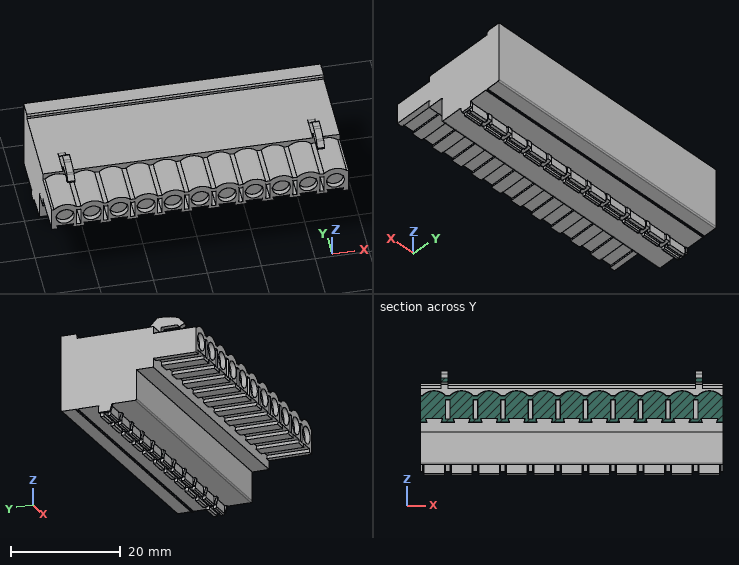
import cadquery as cq
import math


length = 55.1
depth = 26.6
height = 19.0
pole_count = 11
pitch = length / pole_count
pole_positions = [(i - (pole_count - 1) / 2) * pitch for i in range(pole_count)]
boundary_positions = [(i - pole_count / 2) * pitch for i in range(pole_count + 1)]

housing_bottom = 1.95
housing_top = 15.8
housing_front = 8.4
lower_front = 11.7
step_height = 7.9
bottom_edge_radius = 0.3
rail_depth = 3.2
rail_height = 0.9
rail_front = depth - rail_depth
rail_top = housing_top + rail_height
rail_bevel_depth = 0.2
rail_bevel_height = 0.4

nose_bottom = 9.6
nose_top = 14.5
barrel_radius = 2.9
barrel_axis = 12.45
wire_hole_radius = 1.65
wire_hole_depth = 1.0
slot_width = 0.75
slot_bottom = 10.25
slot_top = 13.7
groove_roof_width = 3.05
groove_mouth_width = 2.6
groove_height = 0.7

latch_width = 1.3
latch_offset = 23.15
latch_foot = 12.35
latch_crest_back = 9.2
latch_crest_front = 7.9
latch_crest_radius = 0.45
latch_nose = 3.85
latch_nose_top = 17.35
latch_nose_bottom = 17.1
latch_barb_back = 5.25
latch_underside = 17.0
latch_throat_radius = 0.2
latch_root_radius = 2.05
latch_arc_start = (7.35, 18.95)
latch_arc_middle = (6.15, 18.8)
latch_arc_end = (5.0, 18.45)
latch_brow = (4.75, 18.3)
latch_barb_tip = (4.9, 16.55)

key_width = 3.8
key_back = 19.0
key_front = 16.9
key_groove_width = 0.75
key_groove_height = 0.6
key_bevel_depth = 0.15
key_bevel_height = 0.35
divider_width = 0.9
divider_height = 1.3
divider_back = 19.2
divider_front_top = 16.55
divider_front_bottom = 16.9
lip_back = 23.6
lip_width = 0.35
lip_height = 0.15


def box(x_min, x_max, y_min, y_max, z_min, z_max):
    size = (x_max - x_min, y_max - y_min, z_max - z_min)
    return cq.Workplane("XY").box(*size, centered=False).translate((x_min, y_min, z_min))


def along_x(outline, center, width):
    """Extrude a YZ outline by the given width, centred on one X position."""
    return outline.extrude(width / 2, both=True).translate((center, 0, 0))


def make_housing():
    outline = cq.Workplane("YZ").polyline([
        (depth, housing_bottom),
        (lower_front, housing_bottom),
        (lower_front, step_height),
        (housing_front, step_height),
        (housing_front, housing_top),
        (rail_front, housing_top),
        (rail_front, rail_top - rail_bevel_height),
        (rail_front + rail_bevel_depth, rail_top),
        (depth, rail_top),
    ]).close()
    housing = along_x(outline, 0, length)
    return housing.faces("<Z").edges("|X").fillet(bottom_edge_radius)


def make_nose():
    nose = box(-length / 2, length / 2, 0, housing_front, nose_bottom, nose_top)
    for x in pole_positions:
        barrel = cq.Workplane("XZ").center(x, barrel_axis).circle(barrel_radius).extrude(-housing_front)
        cap = box(x - pitch / 2, x + pitch / 2, 0, housing_front, barrel_axis, housing_top)
        nose = nose.union(barrel.intersect(cap))
    return nose


def make_wire_holes():
    return (
        cq.Workplane("XZ")
        .pushPoints([(x, barrel_axis) for x in pole_positions])
        .circle(wire_hole_radius)
        .extrude(-wire_hole_depth)
    )


def make_dovetail_groove(x):
    groove_roof = nose_bottom + groove_height
    outline = cq.Workplane("XZ").polyline([
        (x - groove_mouth_width / 2, nose_bottom),
        (x + groove_mouth_width / 2, nose_bottom),
        (x + groove_roof_width / 2, groove_roof),
        (x - groove_roof_width / 2, groove_roof),
    ]).close()
    return outline.extrude(-housing_front)


def make_slot(x):
    return box(x - slot_width / 2, x + slot_width / 2, 0, housing_front, slot_bottom, slot_top)


def make_latch(x):
    outline = (
        cq.Workplane("YZ")
        .moveTo(housing_front, housing_top)
        .lineTo(latch_foot, housing_top)
        .lineTo(latch_crest_back, height)
        .lineTo(latch_crest_front, height)
        .lineTo(*latch_arc_start)
        .threePointArc(latch_arc_middle, latch_arc_end)
        .lineTo(*latch_brow)
        .lineTo(latch_nose, latch_nose_top)
        .lineTo(latch_nose, latch_nose_bottom)
        .lineTo(*latch_barb_tip)
        .lineTo(latch_barb_back, latch_underside)
        .lineTo(housing_front, latch_underside)
        .close()
    )
    hook = along_x(outline, x, latch_width)
    crest_edge = cq.NearestToPointSelector((x, latch_crest_back, height))
    hook = hook.edges(crest_edge).fillet(latch_crest_radius)
    throat_edge = cq.NearestToPointSelector((x, housing_front, latch_underside))
    hook = hook.edges(throat_edge).fillet(latch_throat_radius)
    return hook.union(make_latch_blend(x))


def make_latch_blend(x):
    """Concave blend from the housing top into the back slope of a latch."""
    slope = math.atan2(height - housing_top, latch_foot - latch_crest_back)
    reach = latch_root_radius * math.tan(slope / 2)
    slope_point = (latch_foot - reach * math.cos(slope), housing_top + reach * math.sin(slope))
    outline = (
        cq.Workplane("YZ")
        .moveTo(latch_foot, housing_top)
        .lineTo(latch_foot + reach, housing_top)
        .radiusArc(slope_point, latch_root_radius)
        .close()
    )
    return along_x(outline, x, latch_width)


def make_key(x):
    groove_back = (key_front + key_back + key_groove_width) / 2
    groove_front = groove_back - key_groove_width
    outline = cq.Workplane("YZ").polyline([
        (key_back, housing_bottom),
        (key_back, 0),
        (groove_back, 0),
        (groove_back, key_groove_height),
        (groove_front, key_groove_height),
        (groove_front, 0),
        (key_front + key_bevel_depth, 0),
        (key_front, key_bevel_height),
        (key_front, housing_bottom),
    ]).close()
    return along_x(outline, x, key_width)


def make_lip():
    return box(-length / 2, length / 2, lip_back - lip_width, lip_back,
               housing_bottom - lip_height, housing_bottom)


def make_divider(x):
    bottom = housing_bottom - divider_height
    outline = cq.Workplane("YZ").polyline([
        (divider_back, housing_bottom),
        (divider_front_top, housing_bottom),
        (divider_front_bottom, bottom),
        (divider_back, bottom),
    ]).close()
    return along_x(outline, x, divider_width)


body = make_housing().union(make_nose()).union(make_lip())
for x in pole_positions:
    body = body.union(make_key(x)).cut(make_dovetail_groove(x))
body = body.cut(make_wire_holes())
for x in boundary_positions[1:-1]:
    body = body.cut(make_slot(x))
for x in boundary_positions:
    body = body.union(make_divider(x))
for x in (-latch_offset, latch_offset):
    body = body.union(make_latch(x))

result = body.intersect(box(-length / 2, length / 2, 0, depth, 0, height))